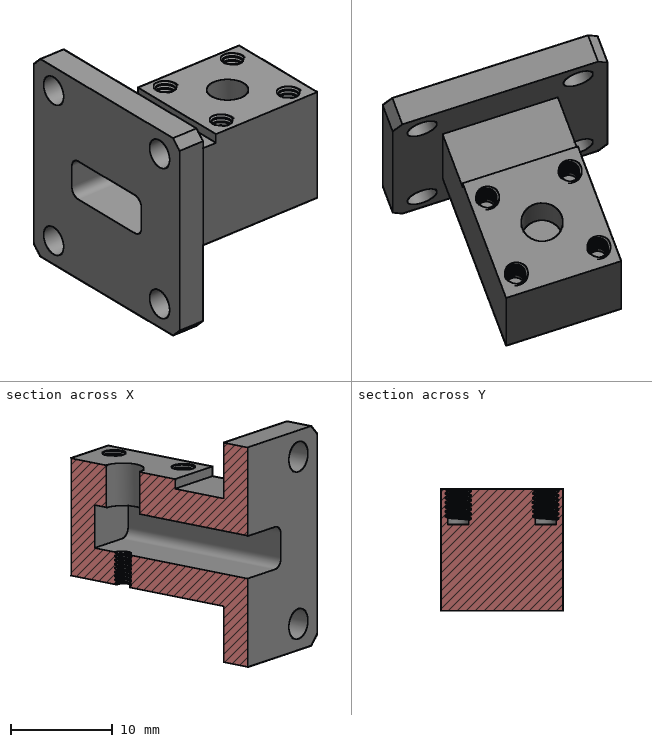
import cadquery as cq
import math

FLANGE_SIDE = 22.4
FLANGE_THICKNESS = 3.0
CORNER_CHAMFER = 1.0
FLANGE_HOLE_DIAMETER = 3.07
FLANGE_HOLE_SPACING_X = 16.26
FLANGE_HOLE_SPACING_Z = 17.02

PART_LENGTH = 22.0
BLOCK_WIDTH = 12.0
BLOCK_HALF_HEIGHT = 5.5
PAD_RAISE = 0.99
PAD_LENGTH = 13
PAD_TOP = BLOCK_HALF_HEIGHT + PAD_RAISE

GUIDE_WIDTH = 10.66
GUIDE_HEIGHT = 4.32
GUIDE_CORNER_RADIUS = 0.99
END_WALL = FLANGE_THICKNESS

PORT_Y = PART_LENGTH - PAD_LENGTH / 2
PORT_DIAMETER = 4.1

CONNECTOR_HOLE_SPACING = 8.6
CONNECTOR_HOLE_DEPTH = 3.5
CONNECTOR_TAP_DRILL = 2.05
CONNECTOR_THREAD_DIAMETER = 2.55
CONNECTOR_THREAD_PITCH = 0.45
CONNECTOR_THREAD_EXIT_ANGLE = 180

SCREW_TAP_DRILL = 1.61
SCREW_THREAD_DIAMETER = 2.02
SCREW_THREAD_PITCH = 0.4
SCREW_THREAD_EXIT_ANGLE = 115

THREAD_FLANK_ANGLE = 30
THREAD_ROOT_FLAT = 1 / 8
WALL_OVERLAP = 0.02


def box_along_y(width, bottom, top, y_start, y_end):
    return (
        cq.Workplane("XY", origin=(0, 0, bottom))
        .rect(width, y_end - y_start)
        .extrude(top - bottom)
        .translate((0, (y_start + y_end) / 2, 0))
    )


def make_flange():
    plate = box_along_y(FLANGE_SIDE, -FLANGE_SIDE / 2, FLANGE_SIDE / 2, 0, FLANGE_THICKNESS)
    plate = plate.edges("|Y").chamfer(CORNER_CHAMFER)
    return (
        plate.faces("<Y")
        .workplane(origin=(0, 0, 0))
        .rarray(FLANGE_HOLE_SPACING_X, FLANGE_HOLE_SPACING_Z, 2, 2)
        .hole(FLANGE_HOLE_DIAMETER)
    )


def make_block():
    body = box_along_y(BLOCK_WIDTH, -BLOCK_HALF_HEIGHT, BLOCK_HALF_HEIGHT, FLANGE_THICKNESS, PART_LENGTH)
    pad = box_along_y(BLOCK_WIDTH, -BLOCK_HALF_HEIGHT, PAD_TOP, PART_LENGTH - PAD_LENGTH, PART_LENGTH)
    return body.union(pad)


def make_waveguide():
    channel = box_along_y(GUIDE_WIDTH, -GUIDE_HEIGHT / 2, GUIDE_HEIGHT / 2, 0, PART_LENGTH - END_WALL)
    return channel.edges("|Y").fillet(GUIDE_CORNER_RADIUS)


def vertical_cylinder(diameter, x, y, bottom, top):
    return cq.Workplane("XY", origin=(x, y, bottom)).circle(diameter / 2).extrude(top - bottom)


def tapped_hole(drill, major, pitch, exit_angle, depth, thread_length):
    """Cutter for a drilled hole with a right-hand thread, entering downwards at z = 0.

    The root of the groove leaves the hole mouth at exit_angle, measured from +X towards +Y.
    The groove starts thread_length below the mouth and carries on one pitch above it,
    so that it runs out cleanly.
    """
    inner_radius = drill / 2 - WALL_OVERLAP
    groove_depth = major / 2 - inner_radius
    half_root = pitch * THREAD_ROOT_FLAT / 2
    half_mouth = half_root + groove_depth * math.tan(math.radians(THREAD_FLANK_ANGLE))
    profile = (
        cq.Workplane("XZ")
        .moveTo(inner_radius, -half_mouth)
        .lineTo(major / 2, -half_root)
        .lineTo(major / 2, half_root)
        .lineTo(inner_radius, half_mouth)
        .close()
    )
    run_out = pitch
    helix = cq.Wire.makeHelix(pitch, thread_length + run_out, drill / 2)
    groove = profile.sweep(cq.Workplane(helix), isFrenet=True)
    start_angle = exit_angle - 360 * thread_length / pitch
    groove = groove.rotate((0, 0, 0), (0, 0, 1), start_angle).translate((0, 0, -thread_length))
    mouth_clearance = 2 * pitch
    return vertical_cylinder(drill, 0, 0, -depth, mouth_clearance).union(groove)


result = make_flange().union(make_block()).cut(make_waveguide())
result = result.cut(vertical_cylinder(PORT_DIAMETER, 0, PORT_Y, 0, PAD_TOP))

connector_tap = tapped_hole(
    CONNECTOR_TAP_DRILL,
    CONNECTOR_THREAD_DIAMETER,
    CONNECTOR_THREAD_PITCH,
    CONNECTOR_THREAD_EXIT_ANGLE,
    CONNECTOR_HOLE_DEPTH,
    CONNECTOR_HOLE_DEPTH - CONNECTOR_THREAD_PITCH,
)
for side_x in (-1, 1):
    for side_y in (-1, 1):
        hole_x = side_x * CONNECTOR_HOLE_SPACING / 2
        hole_y = PORT_Y + side_y * CONNECTOR_HOLE_SPACING / 2
        result = result.cut(connector_tap.translate((hole_x, hole_y, PAD_TOP)))

guide_floor = -GUIDE_HEIGHT / 2
floor_thickness = BLOCK_HALF_HEIGHT + guide_floor
screw_tap = tapped_hole(
    SCREW_TAP_DRILL,
    SCREW_THREAD_DIAMETER,
    SCREW_THREAD_PITCH,
    SCREW_THREAD_EXIT_ANGLE,
    floor_thickness + 2 * SCREW_THREAD_PITCH,
    floor_thickness + SCREW_THREAD_PITCH,
)
result = result.cut(screw_tap.translate((0, PORT_Y, guide_floor)))